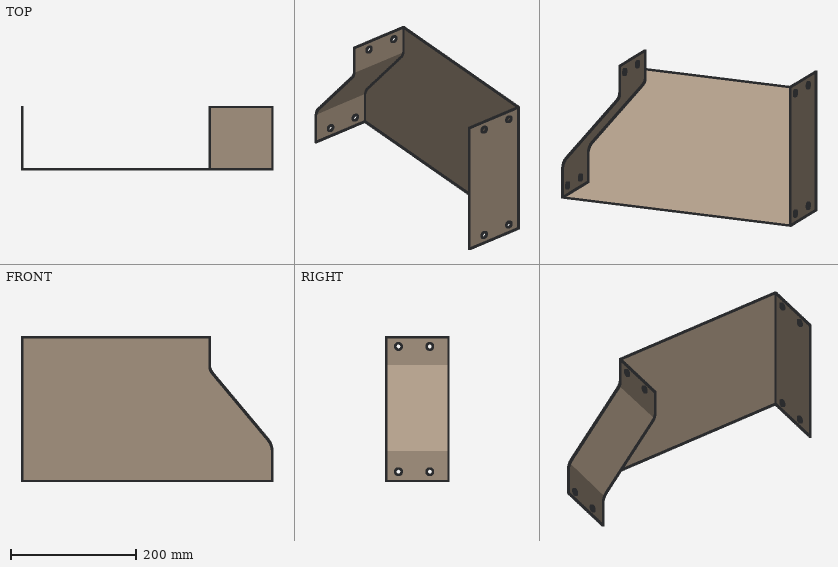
import cadquery as cq

length = 400.0
depth = 100.0
height = 230.0
sheet = 1.0

top_length = 300.0
slope_top = 178.0
slope_bottom = 58.5
inner_bend_radius = 20.0
outer_bend_radius = 30.0

hole_diameter = 10.0
hole_row_spacing = 200.0
lower_row = (height - hole_row_spacing) / 2
hole_rows = (lower_row, lower_row + hole_row_spacing)
first_hole_depth = 20.0
hole_spacing = 50.0
hole_depths = (first_hole_depth, first_hole_depth + hole_spacing)


def make_envelope():
    """Solid prism with the side outline, rounded at both ends of the slope."""
    outline = [
        (0, 0),
        (length, 0),
        (length, slope_bottom),
        (top_length, slope_top),
        (top_length, height),
        (0, height),
    ]
    prism = cq.Workplane("XZ").polyline(outline).close().extrude(-depth)

    def edge_at(body, x, z):
        return body.edges(cq.selectors.NearestToPointSelector((x, depth / 2, z)))

    prism = edge_at(prism, top_length, slope_top).fillet(inner_bend_radius)
    return edge_at(prism, length, slope_bottom).fillet(outer_bend_radius)


def hollow_out(envelope):
    """Leave the front panel, the left flange and the bent right flange."""
    open_faces = envelope.faces(">Y or >Z or <Z")
    return open_faces.shell(-sheet, kind="intersection")


def drill_flanges(body):
    """Drill matching holes along X through both end flanges."""
    centres = [(y, z) for y in hole_depths for z in hole_rows]
    drills = cq.Workplane("YZ").pushPoints(centres).circle(hole_diameter / 2).extrude(length)
    return body.cut(drills)


result = drill_flanges(hollow_out(make_envelope()))